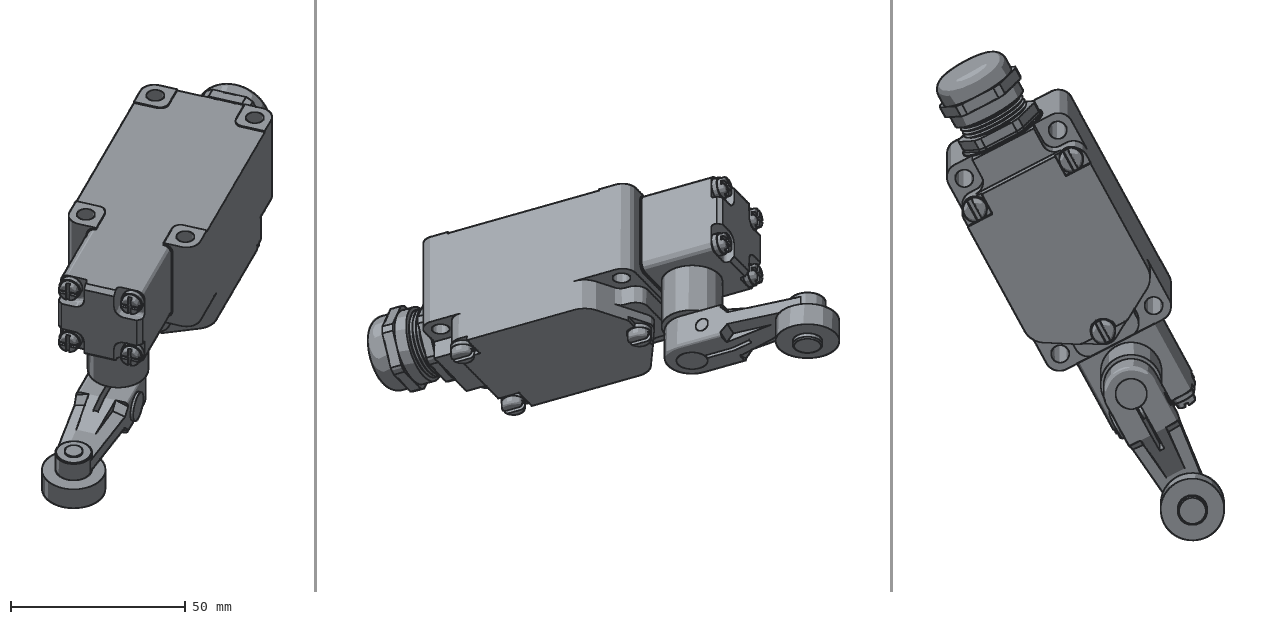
import cadquery as cq
import math


HOUSING_WIDTH = 40.0
HOUSING_LENGTH = 68.5
HOUSING_BOTTOM = -28.9
HOUSING_CORNER_RADIUS = 4.3
PAD_SIZE = 9.7
PAD_HEIGHT = 0.5
PAD_INNER_RADIUS = 2.7
MOUNT_HOLE_DIAMETER = 5.2
MOUNT_HOLE_X = 15.2
MOUNT_HOLE_INSET = 4.9

COVER_BOTTOM = -38.7
COVER_REAR = 59.2
COVER_SHOULDER_DIAMETER = 12.8
COVER_SHOULDER_Y = 17.7
COVER_TIP_RADIUS = 4.3
COVER_REAR_RADIUS = 4.3
SPINE_WIDTH = 19.9
SPINE_FRONT = 1.2
SPINE_BOTTOM = -34.5
SPINE_FRONT_RADIUS = 4.0
SPINE_NECK_RADIUS = 3.0
SPINE_REAR_RADIUS = 3.7

TIP_SCREW_Y = 7.1
REAR_SCREW_X = 15.6
REAR_SCREW_Y = 56.2
COVER_SCREW_WASHER_DIAMETER = 7.0
COVER_SCREW_DIAMETER = 6.8
COVER_SCREW_TIP_Z = -41.5
COVER_SCREW_SLOT_WIDTH = 1.5
COVER_SCREW_SLOT_DEPTH = 2.0
COVER_SCREW_EDGE_FILLET = 1.2
SCREW_SEAT_Z = -37.3
SCREW_SEAT_BORE = 7.4
TIP_SEAT_END_Y = 6.6
TIP_SEAT_WIDTH = 17.7

HEAD_WIDTH = 25.7
HEAD_BOTTOM = -26.1
HEAD_EDGE_RADIUS = 2.5
HEAD_COLLAR_LENGTH = 0.5
HEAD_COLLAR_RIM = 0.3
HEAD_FRONT = -26.1
HEAD_FRONT_CHAMFER = 1.3
POCKET_FLOOR_Y = -23.0
POCKET_SIDE = 8.3
POCKET_CORNER_RADIUS = 3.1
POCKET_FLOOR_FILLET = 0.96
HEAD_SCREW_INSET = 3.4
HEAD_SCREW_BOSS_DIAMETER = 6.5
HEAD_SCREW_BOSS_END = -24.6
HEAD_SCREW_DIAMETER = 5.8
HEAD_SCREW_TIP = -26.7
HEAD_SCREW_EDGE_FILLET = 0.6
CROSS_SLOT_WIDTH = 1.0
CROSS_SLOT_DEPTH = 0.9

SHAFT_Y = -10.0
BUSHING_DIAMETER = 17.5
BUSHING_BOTTOM = -41.3
SHAFT_DIAMETER = 9.0

LEVER_MID_Z = -47.4
LEVER_HALF_HEIGHT = 5.6
LEVER_HALF_WIDTH = 8.0
LEVER_BLOCK_FRONT = -23.5
LEVER_EDGE_FILLET = 1.3
ARM_START_Y = -25.5
ARM_SIDE_HEIGHT = 4.0
ARM_CROWN_HALF_HEIGHT = 3.1
ARM_CROWN_START = 4.1
ARM_CROWN_END = 2.0
ARM_END_Y = -48.1
ARM_END_HALF_WIDTH = 5.3
RAMP_END_Y = -37.2
EYE_Y = -47.5
EYE_DIAMETER = 10.6
EYE_EDGE_CHAMFER = 0.3
EYE_TOP = -44.0
EYE_BOTTOM = -50.5
SLIT_WIDTH = 1.5
SLIT_END_Y = -28.9

CLAMP_Y = -17.4
CLAMP_SHANK_DIAMETER = 4.0
CLAMP_HEAD_DIAMETER = 8.5
CLAMP_HEAD_HEIGHT = 0.9

ROLLER_DIAMETER = 18.3
ROLLER_BOTTOM = -57.4
PIN_DIAMETER = 5.2
PIN_TOP = -43.5
PIN_HEAD_DIAMETER = 8.5
PIN_HEAD_BOTTOM = -59.0
PIN_HEAD_CHAMFER = 0.5

GLAND_AXIS_Z = -21.5
HEX_FLATS = 22.5
HEX_ROUND_DIAMETER = 24.6
GLAND_SEAT_DIAMETER = 25.7
GLAND_SEAT_END = 68.9
HEX_PAD_END = 69.6
GLAND_HEX_END = 72.6
THREAD_OUTER_DIAMETER = 20.2
THREAD_ROOT_DIAMETER = 18.7
THREAD_TURNS = 4
CAP_START = 77.0
CAP_DIAMETER = 22.1
CAP_HEX_START = 80.7
CAP_HEX_END = 84.1
CAP_END = 90.9
CAP_FILLET = 3.5

PICK_MARGIN = 0.1

half_width = HOUSING_WIDTH / 2
head_top = -PAD_HEIGHT
cover_shoulder_radius = COVER_SHOULDER_DIAMETER / 2
arm_side_half_height = ARM_SIDE_HEIGHT / 2
head_mid_z = (head_top + HEAD_BOTTOM) / 2
head_screw_x = HEAD_WIDTH / 2 - HEAD_SCREW_INSET
head_screw_z = (head_top - HEAD_BOTTOM) / 2 - HEAD_SCREW_INSET
lever_z = (LEVER_MID_Z - LEVER_HALF_HEIGHT, LEVER_MID_Z + LEVER_HALF_HEIGHT)
cover_screw_places = [(0, TIP_SCREW_Y), (-REAR_SCREW_X, REAR_SCREW_Y), (REAR_SCREW_X, REAR_SCREW_Y)]
head_corners = [(sx, sz) for sx in (-1, 1) for sz in (-1, 1)]


def box(x_range, y_range, z_range):
    """Box spanning the given ranges."""
    sizes = [high - low for low, high in (x_range, y_range, z_range)]
    corner = (x_range[0], y_range[0], z_range[0])
    return cq.Workplane("XY").box(*sizes, centered=False).translate(corner)


def upright(x, y, diameter, z_low, z_high):
    """Cylinder along Z."""
    return cq.Workplane("XY", origin=(x, y, z_low)).circle(diameter / 2).extrude(z_high - z_low)


def lengthwise(x, z, diameter, y_low, y_high):
    """Cylinder along Y."""
    return cq.Workplane("XZ", origin=(x, y_high, z)).circle(diameter / 2).extrude(y_high - y_low)


def hexagon(y_low, y_high):
    """Gland hexagon with flats facing up and down and its corners turned round."""
    prism = (
        cq.Workplane("XZ", origin=(0, y_high, GLAND_AXIS_Z))
        .polygon(6, HEX_FLATS, circumscribed=True)
        .extrude(y_high - y_low)
        .rotate((0, 0, GLAND_AXIS_Z), (0, 1, GLAND_AXIS_Z), 30)
    )
    return prism.intersect(lengthwise(0, GLAND_AXIS_Z, HEX_ROUND_DIAMETER, y_low, y_high))


def housing_block():
    """Block with four drilled corner pads."""
    block = box((-half_width, half_width), (0, HOUSING_LENGTH), (HOUSING_BOTTOM, 0))
    block = block.edges("|Z").fillet(HOUSING_CORNER_RADIUS)

    pad_inner_x = half_width - PAD_SIZE
    top = (-PAD_HEIGHT, 0)
    across = box((-pad_inner_x, pad_inner_x), (0, HOUSING_LENGTH), top)
    along = box((-half_width, half_width), (PAD_SIZE, HOUSING_LENGTH - PAD_SIZE), top)
    inner_corners = cq.selectors.BoxSelector(
        (-pad_inner_x - PICK_MARGIN, PAD_SIZE - PICK_MARGIN, -PAD_HEIGHT),
        (pad_inner_x + PICK_MARGIN, HOUSING_LENGTH - PAD_SIZE + PICK_MARGIN, 0),
    )
    recess = across.union(along).edges("|Z").edges(inner_corners).fillet(PAD_INNER_RADIUS)
    block = block.cut(recess)

    for x in (-MOUNT_HOLE_X, MOUNT_HOLE_X):
        for y in (MOUNT_HOLE_INSET, HOUSING_LENGTH - MOUNT_HOLE_INSET):
            block = block.cut(upright(x, y, MOUNT_HOLE_DIAMETER, HOUSING_BOTTOM, 0))
    return block


def cover_plate():
    """Cover that narrows to a rounded tip at the front, with slanted walls tangent to its arcs."""
    shoulder_x = half_width - cover_shoulder_radius
    run = COVER_SHOULDER_Y - TIP_SCREW_Y
    slant = math.atan2(run, shoulder_x) - math.asin(
        (cover_shoulder_radius - COVER_TIP_RADIUS) / math.hypot(shoulder_x, run)
    )
    rear_x = half_width - COVER_REAR_RADIUS
    rear_y = COVER_REAR - COVER_REAR_RADIUS

    def arc_point(centre_x, centre_y, radius, angle):
        return (centre_x + radius * math.cos(angle), centre_y + radius * math.sin(angle))

    wall = slant - math.pi / 2
    shoulder_start = arc_point(shoulder_x, COVER_SHOULDER_Y, cover_shoulder_radius, wall)
    shoulder_mid = arc_point(shoulder_x, COVER_SHOULDER_Y, cover_shoulder_radius, wall / 2)
    tip_end = arc_point(0, TIP_SCREW_Y, COVER_TIP_RADIUS, wall)
    rear_mid = arc_point(rear_x, rear_y, COVER_REAR_RADIUS, math.pi / 4)

    def mirrored(point):
        return (-point[0], point[1])

    return (
        cq.Workplane("XY", origin=(0, 0, HOUSING_BOTTOM))
        .moveTo(*mirrored(tip_end))
        .threePointArc((0, TIP_SCREW_Y - COVER_TIP_RADIUS), tip_end)
        .lineTo(*shoulder_start)
        .threePointArc(shoulder_mid, (half_width, COVER_SHOULDER_Y))
        .lineTo(half_width, rear_y)
        .threePointArc(rear_mid, (rear_x, COVER_REAR))
        .lineTo(-rear_x, COVER_REAR)
        .threePointArc(mirrored(rear_mid), (-half_width, rear_y))
        .lineTo(-half_width, COVER_SHOULDER_Y)
        .threePointArc(mirrored(shoulder_mid), mirrored(shoulder_start))
        .close()
        .extrude(COVER_BOTTOM - HOUSING_BOTTOM)
    )


def cover_with_spine():
    """Cover on a shallow spine that fills its front and rear ends, with rounded inner corners."""
    half_spine = SPINE_WIDTH / 2
    spine = box((-half_spine, half_spine), (SPINE_FRONT, HOUSING_LENGTH), (SPINE_BOTTOM, HOUSING_BOTTOM))
    spine = spine.edges("|Z and <Y").fillet(SPINE_FRONT_RADIUS)
    body = cover_plate().union(spine)

    def inner_edges(y_low, y_high):
        reach = half_spine + PICK_MARGIN
        return cq.selectors.BoxSelector((-reach, y_low, COVER_BOTTOM), (reach, y_high, HOUSING_BOTTOM))

    neck_edges = inner_edges(SPINE_FRONT + SPINE_FRONT_RADIUS + PICK_MARGIN, COVER_SHOULDER_Y)
    body = body.edges("|Z").edges(neck_edges).fillet(SPINE_NECK_RADIUS)
    rear_edges = inner_edges(COVER_REAR - PICK_MARGIN, COVER_REAR + PICK_MARGIN)
    return body.edges("|Z").edges(rear_edges).fillet(SPINE_REAR_RADIUS)


def cut_screw_seats(body):
    """Open the cover edge around each screw head down to the seat."""
    seat_z = (COVER_BOTTOM, SCREW_SEAT_Z)
    for x, y in cover_screw_places:
        body = body.cut(upright(x, y, SCREW_SEAT_BORE, *seat_z))
    body = body.cut(box((-TIP_SEAT_WIDTH / 2, TIP_SEAT_WIDTH / 2), (0, TIP_SEAT_END_Y), seat_z))
    seat_radius = SCREW_SEAT_BORE / 2
    seat_y = (REAR_SCREW_Y - seat_radius, COVER_REAR)
    seat_inner_x = REAR_SCREW_X - seat_radius
    body = body.cut(box((seat_inner_x, half_width), seat_y, seat_z))
    return body.cut(box((-half_width, -seat_inner_x), seat_y, seat_z))


def cover_screw(x, y):
    """Slotted screw whose wide collar rests on its seat."""
    washer = upright(x, y, COVER_SCREW_WASHER_DIAMETER, COVER_BOTTOM, SCREW_SEAT_Z)
    head = upright(x, y, COVER_SCREW_DIAMETER, COVER_SCREW_TIP_Z, COVER_BOTTOM)
    head = head.faces("<Z").edges().fillet(COVER_SCREW_EDGE_FILLET)
    half_slot = COVER_SCREW_SLOT_WIDTH / 2
    head_radius = COVER_SCREW_DIAMETER / 2
    slot = box(
        (x - half_slot, x + half_slot),
        (y - head_radius, y + head_radius),
        (COVER_SCREW_TIP_Z, COVER_SCREW_TIP_Z + COVER_SCREW_SLOT_DEPTH),
    )
    return washer.union(head.cut(slot))


def head_collar():
    """Thin collar around the root of the head, flush with its top."""
    half_collar = HEAD_WIDTH / 2 + HEAD_COLLAR_RIM
    collar = box(
        (-half_collar, half_collar), (-HEAD_COLLAR_LENGTH, 0), (HEAD_BOTTOM - HEAD_COLLAR_RIM, head_top)
    )
    return collar.edges("|Y").fillet(HEAD_EDGE_RADIUS)


def head_block():
    """Head with rounded long edges and four corner pockets in a chamfered front."""
    half_head = HEAD_WIDTH / 2
    head = box((-half_head, half_head), (HEAD_FRONT, 0), (HEAD_BOTTOM, head_top))
    head = head.edges("|Y").fillet(HEAD_EDGE_RADIUS)
    head = head.faces("<Y").edges().chamfer(HEAD_FRONT_CHAMFER)
    half_height = (head_top - HEAD_BOTTOM) / 2
    for sx, sz in head_corners:
        head = head.cut(corner_pocket(sx * half_head, head_mid_z + sz * half_height))
    return head


def corner_pocket(corner_x, corner_z):
    """Cutter centred on a head corner, with its floor edge rounded into the walls."""
    side = 2 * POCKET_SIDE
    pocket = cq.Workplane("XZ", origin=(corner_x, POCKET_FLOOR_Y, corner_z)).rect(side, side)
    pocket = pocket.extrude(POCKET_FLOOR_Y - HEAD_FRONT).edges("|Y").fillet(POCKET_CORNER_RADIUS)
    return pocket.faces(">Y").edges().fillet(POCKET_FLOOR_FILLET)


def head_screw(x, z):
    """Cross-slotted screw on a round boss that rises from the pocket floor."""
    boss = lengthwise(x, z, HEAD_SCREW_BOSS_DIAMETER, HEAD_SCREW_BOSS_END, POCKET_FLOOR_Y)
    screw = lengthwise(x, z, HEAD_SCREW_DIAMETER, HEAD_SCREW_TIP, HEAD_SCREW_BOSS_END)
    screw = screw.faces("<Y").edges().fillet(HEAD_SCREW_EDGE_FILLET)
    half_slot = CROSS_SLOT_WIDTH / 2
    radius = HEAD_SCREW_DIAMETER / 2
    depth = (HEAD_SCREW_TIP, HEAD_SCREW_TIP + CROSS_SLOT_DEPTH)
    screw = screw.cut(box((x - half_slot, x + half_slot), depth, (z - radius, z + radius)))
    screw = screw.cut(box((x - radius, x + radius), depth, (z - half_slot, z + half_slot)))
    return boss.union(screw)


def make_housing():
    body = housing_block().union(head_collar()).union(head_block())
    body = body.union(cut_screw_seats(cover_with_spine()))
    for x, y in cover_screw_places:
        body = body.union(cover_screw(x, y))
    for sx, sz in head_corners:
        body = body.union(head_screw(sx * head_screw_x, head_mid_z + sz * head_screw_z))
    body = body.union(upright(0, SHAFT_Y, BUSHING_DIAMETER, BUSHING_BOTTOM, HEAD_BOTTOM))
    body = body.union(upright(0, SHAFT_Y, SHAFT_DIAMETER, lever_z[0], BUSHING_BOTTOM))
    seat = lengthwise(0, GLAND_AXIS_Z, GLAND_SEAT_DIAMETER, HOUSING_LENGTH, GLAND_SEAT_END)
    return body.union(seat).union(hexagon(GLAND_SEAT_END, HEX_PAD_END))


def threaded_neck():
    """Neck with V-shaped rings between the hexagon and the cap."""
    pitch = (CAP_START - GLAND_HEX_END) / THREAD_TURNS
    root = THREAD_ROOT_DIAMETER / 2
    profile = [(0, GLAND_HEX_END), (root, GLAND_HEX_END)]
    for turn in range(THREAD_TURNS):
        start = GLAND_HEX_END + turn * pitch
        profile.append((THREAD_OUTER_DIAMETER / 2, start + pitch / 2))
        profile.append((root, start + pitch))
    profile.append((0, CAP_START))
    neck = cq.Workplane("XY").polyline(profile).close().revolve(360, (0, 0, 0), (0, 1, 0))
    return neck.translate((0, 0, GLAND_AXIS_Z))


def make_gland():
    cap = lengthwise(0, GLAND_AXIS_Z, CAP_DIAMETER, CAP_START, CAP_END)
    cap = cap.faces(">Y").edges().fillet(CAP_FILLET)
    gland = hexagon(HEX_PAD_END, GLAND_HEX_END).union(threaded_neck()).union(cap)
    return gland.union(hexagon(CAP_HEX_START, CAP_HEX_END))


def arm_section(side_x, side_z, crown_x, crown_z):
    """Eight-cornered section of the arm: flat sides sloping up to a flat crown."""
    upper = [(side_x, side_z), (crown_x, crown_z), (-crown_x, crown_z), (-side_x, side_z)]
    return upper + [(-x, -z) for x, z in upper]


def loft_along_y(start_y, start_points, end_y, end_points):
    return (
        cq.Workplane("XZ", origin=(0, start_y, LEVER_MID_Z))
        .polyline(start_points)
        .close()
        .workplane(offset=start_y - end_y)
        .polyline(end_points)
        .close()
        .loft(ruled=True)
    )


def half_width_at(y, start, end):
    """Half width of the arm at y, tapering evenly from the block to its end at the eye."""
    return start + (end - start) * (y - LEVER_BLOCK_FRONT) / (ARM_END_Y - LEVER_BLOCK_FRONT)


def lever_block():
    """Block that clamps the shaft, rounded at the rear."""
    block = box((-LEVER_HALF_WIDTH, LEVER_HALF_WIDTH), (LEVER_BLOCK_FRONT, SHAFT_Y), lever_z)
    block = block.union(upright(0, SHAFT_Y, 2 * LEVER_HALF_WIDTH, *lever_z))
    rim = block.faces("<Z or >Z").edges("not <Y")
    return rim.fillet(LEVER_EDGE_FILLET)


def lever_arm():
    """Tapering arm with a ramp down its middle and a round eye at its end."""
    neck_side = half_width_at(ARM_START_Y, LEVER_HALF_WIDTH, ARM_END_HALF_WIDTH)
    neck_crown = half_width_at(ARM_START_Y, ARM_CROWN_START, ARM_CROWN_END)
    neck = arm_section(neck_side, arm_side_half_height, neck_crown, ARM_CROWN_HALF_HEIGHT)
    root = arm_section(
        LEVER_HALF_WIDTH, LEVER_HALF_HEIGHT - LEVER_EDGE_FILLET, ARM_CROWN_START, LEVER_HALF_HEIGHT
    )
    end = arm_section(ARM_END_HALF_WIDTH, arm_side_half_height, ARM_CROWN_END, ARM_CROWN_HALF_HEIGHT)
    arm = loft_along_y(LEVER_BLOCK_FRONT, root, ARM_START_Y, neck)
    arm = arm.union(loft_along_y(ARM_START_Y, neck, ARM_END_Y, end))

    def rectangle(half_x, half_z):
        return [(half_x, half_z), (-half_x, half_z), (-half_x, -half_z), (half_x, -half_z)]

    ramp_end_x = half_width_at(RAMP_END_Y, ARM_CROWN_START, ARM_CROWN_END)
    ramp = loft_along_y(
        LEVER_BLOCK_FRONT,
        rectangle(ARM_CROWN_START, LEVER_HALF_HEIGHT),
        RAMP_END_Y,
        rectangle(ramp_end_x, ARM_CROWN_HALF_HEIGHT),
    )
    eye = upright(0, EYE_Y, EYE_DIAMETER, EYE_BOTTOM, EYE_TOP)
    eye = eye.faces("<Z or >Z").edges().chamfer(EYE_EDGE_CHAMFER)
    return arm.union(ramp).union(eye)


def make_lever():
    lever = lever_block().union(lever_arm())
    lever = lever.cut(upright(0, SHAFT_Y, SHAFT_DIAMETER, *lever_z))
    lever = lever.cut(box((-SLIT_WIDTH / 2, SLIT_WIDTH / 2), (SLIT_END_Y, SHAFT_Y), lever_z))
    lever = lever.cut(upright(0, EYE_Y, PIN_DIAMETER, EYE_BOTTOM, EYE_TOP))
    return lever.cut(clamp_shank())


def clamp_shank():
    return (
        cq.Workplane("YZ", origin=(-LEVER_HALF_WIDTH, CLAMP_Y, LEVER_MID_Z))
        .circle(CLAMP_SHANK_DIAMETER / 2)
        .extrude(2 * LEVER_HALF_WIDTH)
    )


def make_clamp_screw():
    head = (
        cq.Workplane("YZ", origin=(LEVER_HALF_WIDTH, CLAMP_Y, LEVER_MID_Z))
        .circle(CLAMP_HEAD_DIAMETER / 2)
        .extrude(CLAMP_HEAD_HEIGHT)
    )
    return clamp_shank().union(head)


def make_roller():
    """Roller in one piece with the pin that turns in the lever eye."""
    wheel = upright(0, EYE_Y, ROLLER_DIAMETER, ROLLER_BOTTOM, EYE_BOTTOM)
    pin = upright(0, EYE_Y, PIN_DIAMETER, EYE_BOTTOM, PIN_TOP)
    pin_head = upright(0, EYE_Y, PIN_HEAD_DIAMETER, PIN_HEAD_BOTTOM, ROLLER_BOTTOM)
    pin_head = pin_head.faces("<Z").edges().chamfer(PIN_HEAD_CHAMFER)
    return wheel.union(pin).union(pin_head)


housing = make_housing()
gland = make_gland()
lever = make_lever()
clamp_screw = make_clamp_screw()
roller = make_roller()

result = cq.Compound.makeCompound(
    [housing.val(), gland.val(), lever.val(), clamp_screw.val(), roller.val()]
)